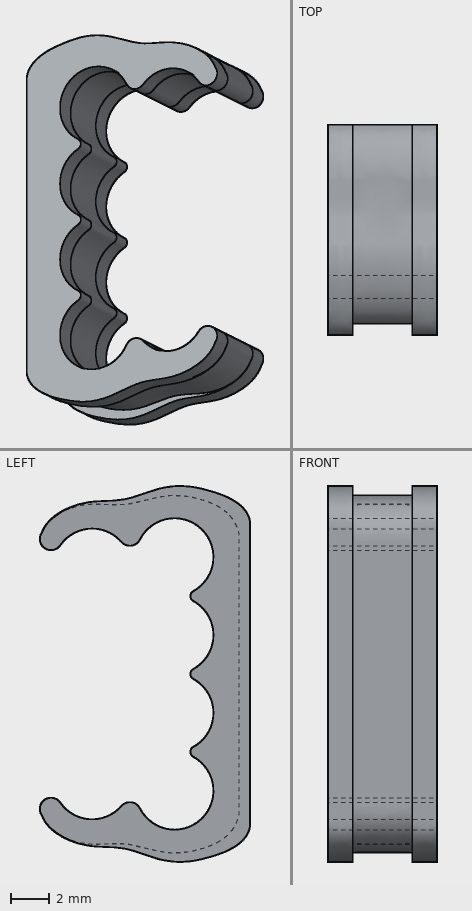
import cadquery as cq
import math

WIDTH = 5.7
CHEEK_THICKNESS = 1.3
HALF_HEIGHT = 9.84
BACK_Y = -5.51
CORE_BACK_Y = -4.92
CHEEK_FLAT_TOP = 7.7
CORE_FLAT_TOP = 6.97
CORE_WIDTH = WIDTH - 2 * CHEEK_THICKNESS

SCALLOP_RADIUS = 2.03
SCALLOP_PITCH = 4.07
SCALLOP_Y = -1.55
ARM_SCALLOP = (2.75, 5.57)
BACK_TOOTH_RADIUS = 0.3
ARM_TOOTH_RADIUS = 0.6
TIP_RADIUS = 0.6
CORNER_SCALLOP = (SCALLOP_Y, 1.5 * SCALLOP_PITCH)
MIDDLE_SCALLOP = (SCALLOP_Y, 0.5 * SCALLOP_PITCH)
LOWER_SCALLOP = (SCALLOP_Y, -0.5 * SCALLOP_PITCH)

TIP_RISE = 34.7
TIP_TOP = 35.0

CHEEK_CURVE = [(4.94, 8.07), (4.21, 8.58), (2.75, 9.01), (0.98, 9.15), (0.0, 9.47),
               (-1.77, HALF_HEIGHT), (-3.52, 9.55), (-4.8, 8.97), (-5.35, 8.4)]
CORE_CURVE = [(4.94, 8.07), (4.21, 8.56), (2.75, 8.9), (0.98, 8.88), (0.0, 9.1),
              (-1.38, 9.35), (-3.15, 9.07), (-4.27, 8.46), (-4.8, 7.71)]

FRONT = 0
UP = 90
BACK = 180
DOWN = -90
CORNER_MID_ANGLE = (UP + BACK) / 2
CENTRE_TOOTH_MID_ANGLE = 30


def polar(centre, radius, degrees):
    """Point at the given distance and direction from a centre."""
    angle = math.radians(degrees)
    return (centre[0] + radius * math.cos(angle), centre[1] + radius * math.sin(angle))


def direction(start, end):
    """Direction in degrees from one point to another."""
    return math.degrees(math.atan2(end[1] - start[1], end[0] - start[0]))


def tooth_centre(first, second, radius):
    """Centre of a tooth round touching two scallops, to the right going from first to second."""
    half_gap = math.dist(first, second) / 2
    offset = math.sqrt((SCALLOP_RADIUS + radius) ** 2 - half_gap ** 2)
    middle = ((first[0] + second[0]) / 2, (first[1] + second[1]) / 2)
    return polar(middle, offset, direction(first, second) - 90)


def touch_point(scallop, round_centre):
    """Point where a scallop meets a round that touches it."""
    return polar(scallop, SCALLOP_RADIUS, direction(scallop, round_centre))


def half_outline(back_y, flat_top, outer_curve):
    """Closed outline of the half above Z = 0, in the YZ plane."""
    tip = polar(ARM_SCALLOP, SCALLOP_RADIUS + TIP_RADIUS, TIP_RISE)
    arm_tooth = tooth_centre(ARM_SCALLOP, CORNER_SCALLOP, ARM_TOOTH_RADIUS)
    upper_tooth = tooth_centre(CORNER_SCALLOP, MIDDLE_SCALLOP, BACK_TOOTH_RADIUS)
    centre_tooth = tooth_centre(MIDDLE_SCALLOP, LOWER_SCALLOP, BACK_TOOTH_RADIUS)
    corner_middle = polar(CORNER_SCALLOP, SCALLOP_RADIUS, CORNER_MID_ANGLE)
    tip_start = polar(tip, TIP_RADIUS, TIP_TOP)
    return (
        cq.Workplane("YZ")
        .moveTo(*tip_start)
        .threePointArc(polar(tip, TIP_RADIUS, DOWN), touch_point(ARM_SCALLOP, tip))
        .threePointArc(polar(ARM_SCALLOP, SCALLOP_RADIUS, UP), touch_point(ARM_SCALLOP, arm_tooth))
        .threePointArc(polar(arm_tooth, ARM_TOOTH_RADIUS, DOWN), touch_point(CORNER_SCALLOP, arm_tooth))
        .threePointArc(corner_middle, touch_point(CORNER_SCALLOP, upper_tooth))
        .threePointArc(polar(upper_tooth, BACK_TOOTH_RADIUS, FRONT), touch_point(MIDDLE_SCALLOP, upper_tooth))
        .threePointArc(polar(MIDDLE_SCALLOP, SCALLOP_RADIUS, BACK), touch_point(MIDDLE_SCALLOP, centre_tooth))
        .threePointArc(
            polar(centre_tooth, BACK_TOOTH_RADIUS, CENTRE_TOOTH_MID_ANGLE),
            polar(centre_tooth, BACK_TOOTH_RADIUS, FRONT),
        )
        .lineTo(back_y, 0)
        .lineTo(back_y, flat_top)
        .spline([*reversed(outer_curve), tip_start], includeCurrent=True)
        .close()
    )


def plate(left_x, thickness, back_y, flat_top, outer_curve):
    """C-shaped plate, symmetric about Z = 0."""
    upper = half_outline(back_y, flat_top, outer_curve).extrude(thickness).translate((left_x, 0, 0))
    return upper.union(upper.mirror("XY")).clean()


def cheek(left_x):
    """Outer plate with the full outline."""
    return plate(left_x, CHEEK_THICKNESS, BACK_Y, CHEEK_FLAT_TOP, CHEEK_CURVE)


def core():
    """Middle plate, set in from the outer plates along the back and arms."""
    return plate(-CORE_WIDTH / 2, CORE_WIDTH, CORE_BACK_Y, CORE_FLAT_TOP, CORE_CURVE)


cheeks = [cheek(left_x) for left_x in (-WIDTH / 2, CORE_WIDTH / 2)]
result = cq.Compound.makeCompound([core().val(), *(body.val() for body in cheeks)])